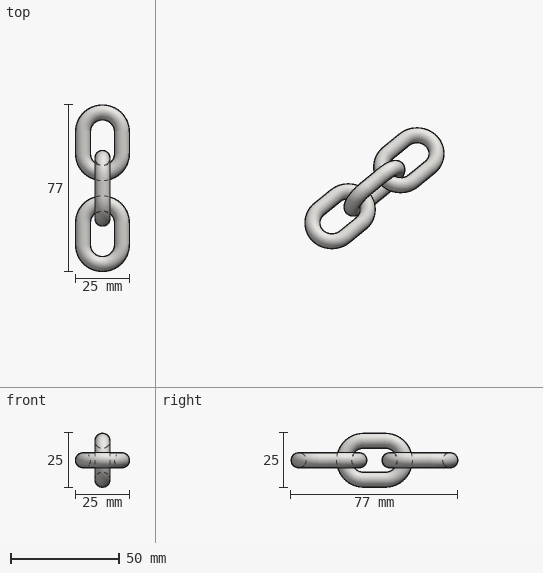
import cadquery as cq

wire_diameter = 7.0
link_width = 25.0
link_length = 35.0
link_count = 3

wire_radius = wire_diameter / 2
bend_radius = (link_width - wire_diameter) / 2
straight_length = link_length - link_width
half_straight = straight_length / 2
pitch = link_length - 2 * wire_diameter


def make_link():
    """One closed oval link lying in the XY plane, long along Y, centred on the origin."""
    centre_line = (
        cq.Workplane("XY")
        .moveTo(-bend_radius, 0)
        .lineTo(-bend_radius, half_straight)
        .threePointArc((0, half_straight + bend_radius), (bend_radius, half_straight))
        .lineTo(bend_radius, -half_straight)
        .threePointArc((0, -half_straight - bend_radius), (-bend_radius, -half_straight))
        .close()
    )
    wire_section = cq.Workplane("XZ").center(-bend_radius, 0).circle(wire_radius)
    return wire_section.sweep(centre_line)


links = []
for index in range(link_count):
    offset = (index - (link_count - 1) / 2) * pitch
    turn = 90 * (index % 2)
    link = make_link().rotate((0, 0, 0), (0, 1, 0), -turn).translate((0, offset, 0))
    links.append(link.val())

result = cq.Compound.makeCompound(links)